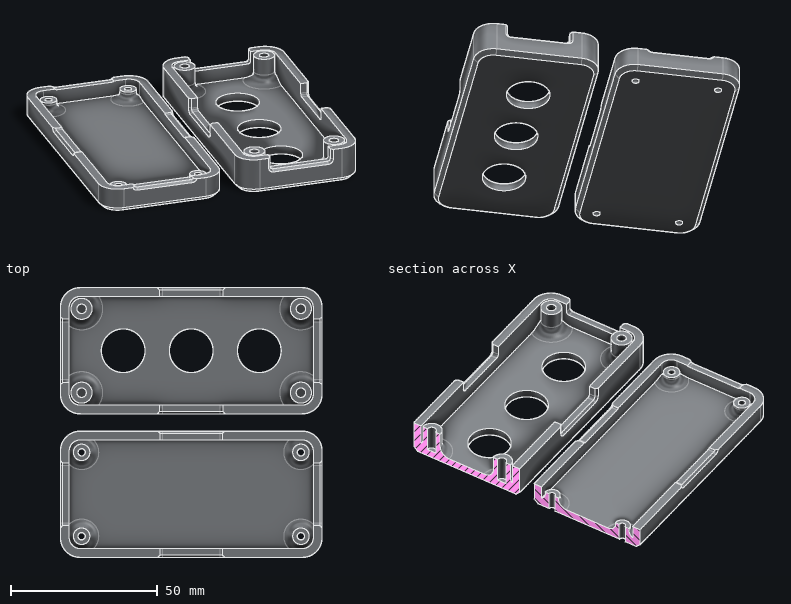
import cadquery as cq
import math

CASE_LENGTH = 89.2
OVERALL_WIDTH = 92.0
CASE_GAP = 5.8
CASE_WIDTH = (OVERALL_WIDTH - CASE_GAP) / 2
CORNER_RADIUS = 6.8
WALL = 3.0
FLOOR = 3.0
BOTTOM_CHAMFER = 1.6
CASE_OFFSET = (CASE_WIDTH + CASE_GAP) / 2

NOTCH_WIDTH = 21.6
NOTCH_RADIUS = 1.0
NOTCH_CHAMFER = 0.8

BOSS_INSET = 7.3
BOSS_SPACING_X = CASE_LENGTH - 2 * BOSS_INSET
BOSS_SPACING_Y = CASE_WIDTH - 2 * BOSS_INSET

HOUSING_HEIGHT = 12.5
HOUSING_NOTCH_FLOOR = 8.0
HOUSING_BOSS_DIAMETER = 7.2
HOUSING_BOSS_TOP = HOUSING_HEIGHT
HOUSING_BOSS_FILLET = 3.6
HOUSING_SCREW_DIAMETER = 3.2
OPENING_DIAMETER = 14.8
OPENING_SPACING = 23.2
OPENING_COUNT = 3

LID_HEIGHT = 8.6
LID_NOTCH_FLOOR = 8.2
LID_BOSS_DIAMETER = 5.6
LID_BOSS_TOP = 6.9
LID_BOSS_FILLET = 3.0
LID_SCREW_DIAMETER = 2.4


def tray(height):
    """Open box with rounded corners and a chamfered bottom edge, standing on Z = 0."""
    outside = (
        cq.Workplane("XY")
        .rect(CASE_LENGTH, CASE_WIDTH)
        .extrude(height)
        .edges("|Z")
        .fillet(CORNER_RADIUS)
        .faces("<Z")
        .chamfer(BOTTOM_CHAMFER)
    )
    cavity = (
        cq.Workplane("XY", origin=(0, 0, FLOOR))
        .rect(CASE_LENGTH - 2 * WALL, CASE_WIDTH - 2 * WALL)
        .extrude(height)
        .edges("|Z")
        .fillet(CORNER_RADIUS - WALL)
    )
    return outside.cut(cavity)


def notch_section(y, growth, notch_floor, top):
    """Closed notch outline in the plane at y, grown outward by the given amount."""
    half_width = NOTCH_WIDTH / 2 + growth
    radius = NOTCH_RADIUS + growth
    bottom = notch_floor - growth
    diagonal = radius * (1 - math.sqrt(0.5))
    return (
        cq.Workplane("XZ", origin=(0, y, 0))
        .moveTo(-half_width, top)
        .lineTo(-half_width, bottom + radius)
        .threePointArc((-half_width + diagonal, bottom + diagonal), (-half_width + radius, bottom))
        .lineTo(half_width - radius, bottom)
        .threePointArc((half_width - diagonal, bottom + diagonal), (half_width, bottom + radius))
        .lineTo(half_width, top)
        .close()
    )


def notch_cutter(wall_distance, notch_floor, height):
    """Cutter for a wall whose outer face lies at Y = -wall_distance, chamfered on that face."""
    top = height + NOTCH_RADIUS
    opening = notch_section(-wall_distance + 2 * WALL, 0, notch_floor, top).extrude(2 * WALL)
    outer_wire = notch_section(-wall_distance, NOTCH_CHAMFER, notch_floor, top).wire().val()
    inner_wire = notch_section(-wall_distance + NOTCH_CHAMFER, 0, notch_floor, top).wire().val()
    return opening.union(cq.Workplane(cq.Solid.makeLoft([outer_wire, inner_wire], True)))


def cut_notches(body, notch_floor, height):
    """Cut one notch through the middle of each of the four walls."""
    long_wall = notch_cutter(CASE_WIDTH / 2, notch_floor, height)
    short_wall = notch_cutter(CASE_LENGTH / 2, notch_floor, height)
    for cutter, first_angle in ((long_wall, 0), (short_wall, 90)):
        for angle in (first_angle, first_angle + 180):
            body = body.cut(cutter.rotate((0, 0, 0), (0, 0, 1), angle))
    return body


def boss_points():
    """Workplane with one point on the axis of each corner boss."""
    return cq.Workplane("XY").rarray(BOSS_SPACING_X, BOSS_SPACING_Y, 2, 2)


def add_bosses(body, diameter, top, fillet):
    """Add four corner bosses, each with a concave fillet running out onto the floor."""
    radius = diameter / 2
    arc_dip = fillet * (1 - math.sqrt(0.5))
    boss = (
        cq.Workplane("XZ")
        .lineTo(radius + fillet, 0)
        .lineTo(radius + fillet, FLOOR)
        .threePointArc((radius + arc_dip, FLOOR + arc_dip), (radius, FLOOR + fillet))
        .lineTo(radius, top)
        .lineTo(0, top)
        .close()
        .revolve(360, (0, 0), (0, 1))
        .intersect(cq.Workplane("XY", origin=(0, 0, BOTTOM_CHAMFER)).circle(radius + fillet).extrude(top))
    )
    bosses = boss_points().eachpoint(lambda place: boss.val().moved(place))
    return body.union(bosses)


def make_housing():
    body = add_bosses(tray(HOUSING_HEIGHT), HOUSING_BOSS_DIAMETER, HOUSING_BOSS_TOP, HOUSING_BOSS_FILLET)
    body = cut_notches(body, HOUSING_NOTCH_FLOOR, HOUSING_HEIGHT)
    screw_holes = (
        boss_points().circle(HOUSING_SCREW_DIAMETER / 2).extrude(HOUSING_HEIGHT)
        .translate((0, 0, FLOOR))
    )
    openings = (
        cq.Workplane("XY")
        .rarray(OPENING_SPACING, 0.9, OPENING_COUNT, 1)
        .circle(OPENING_DIAMETER / 2)
        .extrude(FLOOR)
    )
    return body.cut(screw_holes).cut(openings)


def make_lid():
    body = add_bosses(tray(LID_HEIGHT), LID_BOSS_DIAMETER, LID_BOSS_TOP, LID_BOSS_FILLET)
    body = cut_notches(body, LID_NOTCH_FLOOR, LID_HEIGHT)
    screw_holes = boss_points().circle(LID_SCREW_DIAMETER / 2).extrude(LID_HEIGHT)
    return body.cut(screw_holes)


housing = make_housing().translate((0, CASE_OFFSET, 0))
lid = make_lid().translate((0, -CASE_OFFSET, 0))

result = cq.Compound.makeCompound([housing.val(), lid.val()])